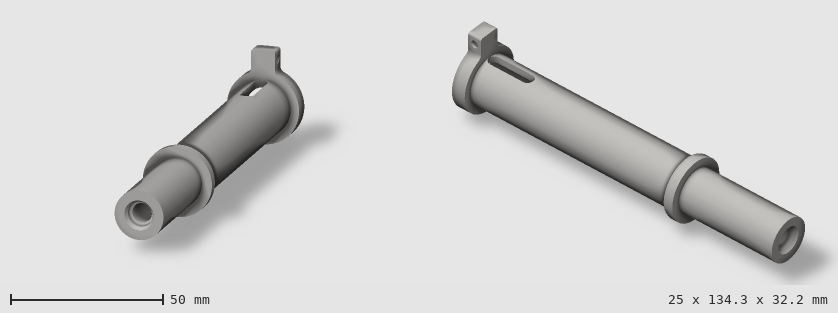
import cadquery as cq
import math

length = 134.3
flange_radius = 12.5
flange_width = 5.5
body_radius = 9.5
collar_radius = 12.0
collar_width = 4.0
collar_chamfer_length = 1.0
collar_chamfer_depth = 0.4
journal_radius = 8.5
journal_length = 39.9

overall_height = 32.2
tab_width = 8.5
tab_corner_radius = 1.0
tab_root_radius = 2.0
tab_hole_diameter = 3.0
tab_hole_below_top = 3.5

keyway_width = 4.5
keyway_length = 19.0

socket_radius = 7.0
socket_depth = 26.9

mouth_radius = 5.1
relief_radius = 4.3
relief_depth = 2.7
drill_radius = 3.4
drill_depth = 21.5
mouth_half_angle = 30.0
relief_half_angle = 60.0
drill_half_angle = 59.0

flange_face = length - flange_width
collar_end = journal_length + collar_width
tab_top = overall_height - flange_radius


def cone_length(large_radius, small_radius, half_angle):
    return (large_radius - small_radius) / math.tan(math.radians(half_angle))


def make_shaft():
    """Stepped shaft with the flange, revolved about Y."""
    return (
        cq.Workplane("XY")
        .lineTo(journal_radius, 0)
        .lineTo(journal_radius, journal_length)
        .lineTo(collar_radius, journal_length)
        .lineTo(collar_radius, collar_end - collar_chamfer_length)
        .lineTo(collar_radius - collar_chamfer_depth, collar_end)
        .lineTo(body_radius, collar_end)
        .lineTo(body_radius, flange_face)
        .lineTo(flange_radius, flange_face)
        .lineTo(flange_radius, length)
        .lineTo(0, length)
        .close()
        .revolve(360, (0, 0, 0), (0, 1, 0))
    )


def make_tab():
    """Rounded tab blended into the flange rim by arcs tangent to both."""
    half_width = tab_width / 2
    root_x = half_width + tab_root_radius
    centre_distance = flange_radius + tab_root_radius
    root_z = math.sqrt(centre_distance**2 - root_x**2)
    rim_x = root_x * flange_radius / centre_distance
    rim_z = root_z * flange_radius / centre_distance

    arc_angle = (math.pi + math.atan2(root_z, root_x) + math.pi) / 2
    mid_x = root_x + tab_root_radius * math.cos(arc_angle)
    mid_z = root_z + tab_root_radius * math.sin(arc_angle)

    tab = (
        cq.Workplane("XZ", origin=(0, length, 0))
        .moveTo(-rim_x, rim_z)
        .threePointArc((-mid_x, mid_z), (-half_width, root_z))
        .lineTo(-half_width, tab_top)
        .lineTo(half_width, tab_top)
        .lineTo(half_width, root_z)
        .threePointArc((mid_x, mid_z), (rim_x, rim_z))
        .lineTo(0, 0)
        .close()
        .extrude(flange_width)
        .edges("|Y and >Z")
        .fillet(tab_corner_radius)
    )
    hole_centre = (0, length - flange_width / 2, tab_top - tab_hole_below_top)
    hole = (
        cq.Workplane("YZ", origin=hole_centre)
        .circle(tab_hole_diameter / 2)
        .extrude(tab_width, both=True)
    )
    return tab.cut(hole)


def make_keyway():
    """Round-ended keyway through the tube wall that just touches the flange face."""
    return (
        cq.Workplane("XY", origin=(0, flange_face - keyway_length / 2, 0))
        .slot2D(keyway_length, keyway_width, 90)
        .extrude(body_radius)
    )


def make_socket():
    """Blind round socket entering from the flange end."""
    return cq.Workplane("XZ", origin=(0, length, 0)).circle(socket_radius).extrude(socket_depth)


def make_bore():
    """Countersunk and relieved bore with a conical drill point."""
    mouth_length = cone_length(mouth_radius, relief_radius, mouth_half_angle)
    relief_cone = cone_length(relief_radius, drill_radius, relief_half_angle)
    drill_point = cone_length(drill_radius, 0, drill_half_angle)
    return (
        cq.Workplane("XY")
        .lineTo(mouth_radius, 0)
        .lineTo(relief_radius, mouth_length)
        .lineTo(relief_radius, relief_depth)
        .lineTo(drill_radius, relief_depth + relief_cone)
        .lineTo(drill_radius, drill_depth)
        .lineTo(0, drill_depth + drill_point)
        .close()
        .revolve(360, (0, 0, 0), (0, 1, 0))
    )


result = (
    make_shaft()
    .union(make_tab())
    .cut(make_socket())
    .cut(make_keyway())
    .cut(make_bore())
)